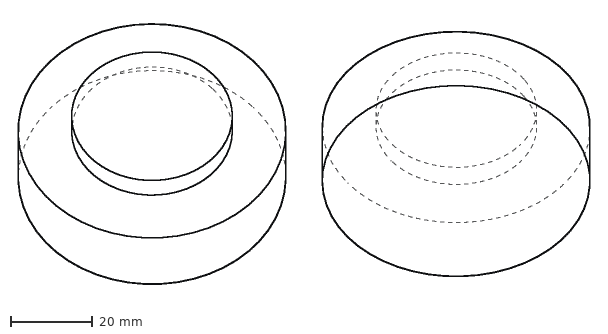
import cadquery as cq

base_diameter = 66.0
boss_diameter = 39.6
total_height = 25.0
boss_height = 6.0
base_height = total_height - boss_height

base = cq.Workplane("XY").circle(base_diameter / 2).extrude(base_height)

result = base.faces(">Z").workplane().circle(boss_diameter / 2).extrude(boss_height)